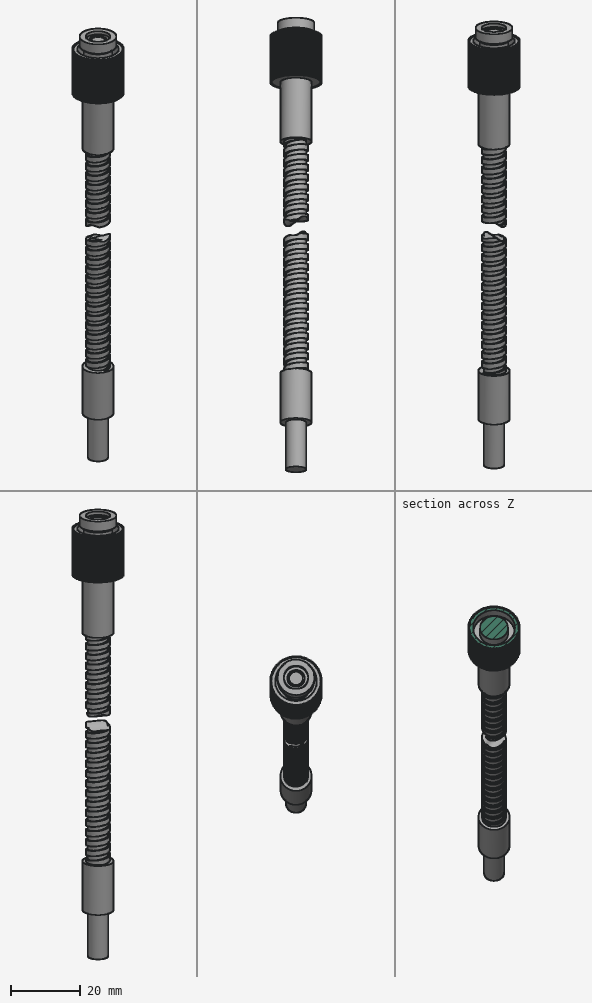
import cadquery as cq
import math

total_length = 135.0
plug_length = 14.2
ferrule_top = 29.2
lower_break = 70.6
upper_break = 75.0
stem_bottom = 99.1
nut_bottom = 117.0
nut_top = 131.0

sleeve_diameter = 9.0
plug_diameter = 6.0
cable_diameter = 7.0

groove_root_diameter = 6.0
groove_low_pass = 29.8
groove_high_pass = 95.8
groove_turns = 22
spare_turns = 2
groove_pitch = (groove_high_pass - groove_low_pass) / groove_turns
groove_width = 1.4
break_wave = 0.8

nut_diameter = 15.0
knurl_teeth = 120
knurl_depth = 0.4
nut_recess_diameter = 12.0
nut_recess_depth = 5.4

head_diameter = 10.7
head_bottom = 132.0
neck_diameter = 8.2
head_taper_height = 0.88
socket_diameter = 7.0
socket_depth = 1.01
contact_well_diameter = 5.0
contact_well_depth = 0.3
contact_diameter = 4.0


def cylinder(diameter, bottom, top):
    """Upright cylinder on the Z axis between two heights."""
    return cq.Workplane("XY", origin=(0, 0, bottom)).circle(diameter / 2).extrude(top - bottom)


def grooved_stock():
    """One long cable with its helical groove of rectangular section, running past the cable at both ends."""
    turns = groove_turns + 2 * spare_turns
    length = turns * groove_pitch
    root_radius = groove_root_diameter / 2
    mouth_radius = cable_diameter - root_radius
    path = cq.Wire.makeHelix(groove_pitch, length, root_radius)
    profile = (
        cq.Workplane("XZ")
        .moveTo(root_radius, -groove_width / 2)
        .lineTo(mouth_radius, -groove_width / 2)
        .lineTo(mouth_radius, groove_width / 2)
        .lineTo(root_radius, groove_width / 2)
        .close()
    )
    groove = profile.sweep(cq.Workplane(path), isFrenet=True)
    stock = cylinder(cable_diameter, -groove_pitch, length + groove_pitch).cut(groove)
    return stock.translate((0, 0, groove_low_pass - spare_turns * groove_pitch))


def cable_between(break_height, joint_height):
    """Grooved cable from its wavy break to the flat face of the fitting that holds it."""
    edge = cable_diameter / 2
    crest = edge / 2
    envelope = (
        cq.Workplane("XZ")
        .moveTo(-cable_diameter, break_height)
        .lineTo(-edge, break_height)
        .threePointArc((-crest, break_height - break_wave), (0, break_height))
        .threePointArc((crest, break_height + break_wave), (edge, break_height))
        .lineTo(cable_diameter, break_height)
        .lineTo(cable_diameter, joint_height)
        .lineTo(-cable_diameter, joint_height)
        .close()
        .extrude(cable_diameter, both=True)
    )
    return grooved_stock().intersect(envelope)


def knurled_nut():
    """Nut with straight V teeth all round and a recess in its top."""
    points = []
    for step in range(2 * knurl_teeth):
        angle = math.pi * step / knurl_teeth
        radius = nut_diameter / 2 - knurl_depth * (step % 2)
        points.append((radius * math.cos(angle), radius * math.sin(angle)))
    blank = cq.Workplane("XY", origin=(0, 0, nut_bottom)).polyline(points).close()
    nut = blank.extrude(nut_top - nut_bottom)
    return nut.cut(cylinder(nut_recess_diameter, nut_top - nut_recess_depth, nut_top))


def connector_head():
    """Head on its neck, with a socket in the top and a contact at its centre."""
    taper_bottom = head_bottom - head_taper_height
    socket_floor = total_length - socket_depth
    well_floor = socket_floor - contact_well_depth
    head = (
        cq.Workplane("XZ")
        .moveTo(0, nut_top - nut_recess_depth)
        .lineTo(neck_diameter / 2, nut_top - nut_recess_depth)
        .lineTo(neck_diameter / 2, taper_bottom)
        .lineTo(head_diameter / 2, head_bottom)
        .lineTo(head_diameter / 2, total_length)
        .lineTo(0, total_length)
        .close()
        .revolve(360, (0, 0, 0), (0, 1, 0))
    )
    contact = cylinder(contact_diameter, well_floor, socket_floor)
    head = head.cut(cylinder(socket_diameter, socket_floor, total_length))
    head = head.cut(cylinder(contact_well_diameter, well_floor, socket_floor))
    return head.union(contact)


def make_upper_half():
    """Connector, nut, stem and the upper stretch of cable."""
    cable = cable_between(upper_break, stem_bottom)
    half = cable.union(cylinder(sleeve_diameter, stem_bottom, nut_bottom))
    return half.union(knurled_nut()).union(connector_head())


def make_lower_half():
    """Lower stretch of cable, ferrule and plug."""
    cable = cable_between(lower_break, ferrule_top)
    half = cable.union(cylinder(sleeve_diameter, plug_length, ferrule_top))
    return half.union(cylinder(plug_diameter, 0, plug_length))


upper_half = make_upper_half()
lower_half = make_lower_half()

result = cq.Compound.makeCompound([upper_half.val(), lower_half.val()])